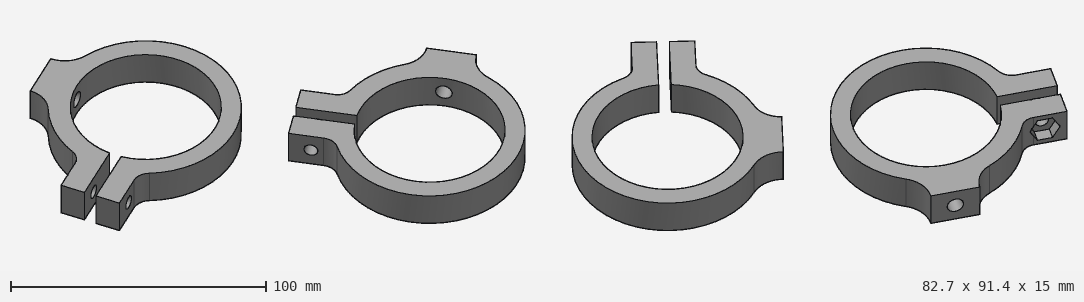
import cadquery as cq
import math

outer_radius = 37.5
thick_sector_radius = 38.3
bore_radius = 29.6
thickness = 15.0
mid_height = thickness / 2

pad_face_x = -45.2
pad_half_width = 10.0
pad_fillet = 12.8
pad_fillet_by_thick_sector = 11.7
pad_hole_diameter = 6.6

overall_length = 91.4
ear_end_y = outer_radius - overall_length
ear_half_width = 12.5
slot_width = 4.9
ear_fillet = 6.9
ear_fillet_by_thick_sector = 6.0

screw_y = -45.0
screw_diameter = 5.5
nut_across_flats = 10.6
nut_depth = 4.9


def ring_body():
    """Solid disc with its thicker quarter, the pad and the undivided ear block, before blending."""
    disc = cq.Workplane("XY").circle(outer_radius).extrude(thickness)
    thick_sector = (
        cq.Workplane("XY")
        .lineTo(-thick_sector_radius, 0)
        .radiusArc((0, -thick_sector_radius), -thick_sector_radius)
        .close()
        .extrude(thickness)
    )
    pad = cq.Workplane("XY").box(
        -pad_face_x, 2 * pad_half_width, thickness, centered=(False, True, False)
    ).translate((pad_face_x, 0, 0))
    ears = cq.Workplane("XY").box(
        2 * ear_half_width, -ear_end_y, thickness, centered=(True, False, False)
    ).translate((0, ear_end_y, 0))
    return disc.union(thick_sector).union(pad).union(ears)


def blend(half_width, radius, ring_radius):
    """Concave corner filler beside a lug that points along -Y, on its +X side.

    The arc is tangent to the lug side and to a ring of the given radius.
    """
    centre_x = half_width + radius
    centre_distance = ring_radius + radius
    centre_y = -math.sqrt(centre_distance**2 - centre_x**2)
    ring_share = ring_radius / centre_distance
    ring_tangent = (centre_x * ring_share, centre_y * ring_share)
    corner_angle = (math.pi + math.atan2(-centre_y, -centre_x)) / 2
    arc_middle = (
        centre_x + radius * math.cos(corner_angle),
        centre_y + radius * math.sin(corner_angle),
    )
    return (
        cq.Workplane("XY")
        .moveTo(0, 0)
        .lineTo(half_width, 0)
        .lineTo(*ring_tangent)
        .threePointArc(arc_middle, (half_width, centre_y))
        .lineTo(0, centre_y)
        .close()
        .extrude(thickness)
    )


def bar_along_x(profile, start_x, length):
    """Extrude a sketch on the YZ plane, starting at start_x."""
    return profile.extrude(length).translate((start_x, 0, 0))


pad_blends = (
    blend(pad_half_width, pad_fillet_by_thick_sector, thick_sector_radius)
    .mirror("YZ")
    .union(blend(pad_half_width, pad_fillet, outer_radius))
    .mirror("YZ")
    .rotate((0, 0, 0), (0, 0, 1), -90)
)
ear_blends = blend(ear_half_width, ear_fillet, outer_radius).union(
    blend(ear_half_width, ear_fillet_by_thick_sector, thick_sector_radius).mirror("YZ")
)
body_envelope = cq.Workplane("XY").box(
    2 * -pad_face_x, 2 * overall_length, thickness, centered=(True, True, False)
)
result = ring_body().union(pad_blends.intersect(body_envelope)).union(ear_blends)

bore = cq.Workplane("XY").circle(bore_radius).extrude(thickness)
slot = cq.Workplane("XY").box(
    slot_width, -ear_end_y, thickness, centered=(True, False, False)
).translate((0, ear_end_y, 0))
result = result.cut(bore).cut(slot)

pad_hole_profile = cq.Workplane("YZ").center(0, mid_height).circle(pad_hole_diameter / 2)
result = result.cut(bar_along_x(pad_hole_profile, pad_face_x, -pad_face_x))

screw_profile = cq.Workplane("YZ").center(screw_y, mid_height).circle(screw_diameter / 2)
nut_across_corners = nut_across_flats / math.cos(math.pi / 6)
nut_profile = cq.Workplane("YZ").center(screw_y, mid_height).polygon(6, nut_across_corners)
nut_floor_x = -ear_half_width + nut_depth
result = result.cut(bar_along_x(screw_profile, -ear_half_width, 2 * ear_half_width))
result = result.cut(bar_along_x(nut_profile, nut_floor_x - 2 * nut_depth, 2 * nut_depth))